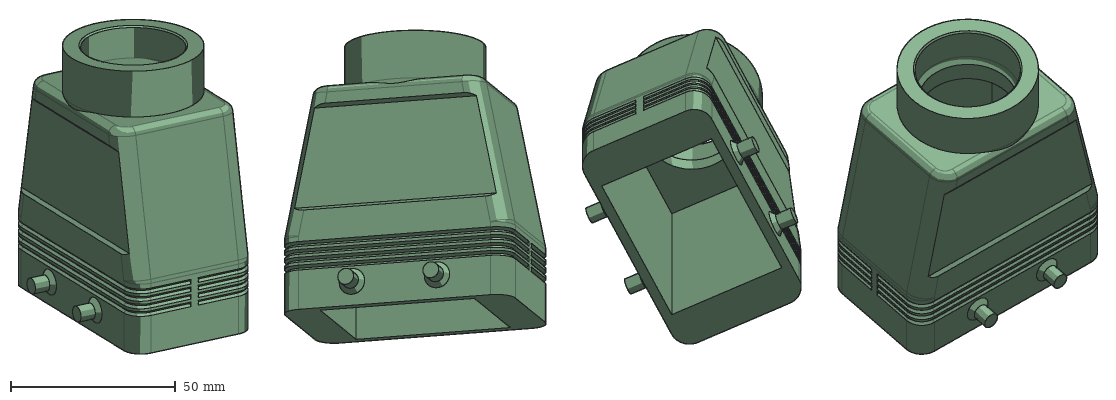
import cadquery as cq
import math

length = 73.0
depth = 43.0
total_height = 85.0
shoulder_z = 70.0
corner_radius = 6.0

bend_z = 23.5
bend_radius = 6.4
end_slope = 11.5
shoulder_fillet = 2.55

wall = 3.0
roof = 3.8
cavity_length = 49.0
cavity_depth = depth - 2 * wall
ceiling_z = shoulder_z - roof

panel_depth = 1.0
panel_bottom_z = 31.0
panel_top_z = 64.0

groove_count = 4
groove_pitch = 2.5
groove_depth = 0.8
groove_flank = 45
lowest_groove_z = 13.1
groove_gap = 2.6
groove_clearance = 1.7

pin_diameter = 5.0
pin_tip_span = 56.0
pin_spacing = 27.0
pin_z = 7.5
pin_root_height = 1.45
pin_root_diameter = 8.1

neck_diameter = depth
neck_draft = 12
bore_diameter = 32.0
bore_chamfer = 0.5
seat_top_z = 74.55
seat_radius = 3.0
passage_diameter = 29.75


def hood_shell():
    """Outer body with sloping ends, rounded bends, corners and shoulder."""
    skirt = length / 2
    top = skirt - (shoulder_z - bend_z) * math.tan(math.radians(end_slope))
    body = (
        cq.Workplane("XZ")
        .polyline([
            (-skirt, 0),
            (skirt, 0),
            (skirt, bend_z),
            (top, shoulder_z),
            (-top, shoulder_z),
            (-skirt, bend_z),
        ])
        .close()
        .extrude(depth / 2, both=True)
    )
    bend_zone = cq.selectors.BoxSelector(
        (-length, -depth, bend_z / 2), (length, depth, (bend_z + shoulder_z) / 2)
    )
    body = body.edges("|Y").edges(bend_zone).fillet(bend_radius)
    body = body.faces("<Y or >Y").edges("not(<Z or >Z)").fillet(corner_radius)
    return body.faces(">Z").edges().fillet(shoulder_fillet)


def panel_cut(side):
    """Full-width recess with 45 degree upper and lower edges; side is -1 or 1."""
    face = side * depth / 2
    floor = side * (depth / 2 - panel_depth)
    return (
        cq.Workplane("YZ")
        .polyline([
            (face, panel_bottom_z),
            (floor, panel_bottom_z + panel_depth),
            (floor, panel_top_z - panel_depth),
            (face, panel_top_z),
        ])
        .close()
        .extrude(length / 2, both=True)
    )


def groove_ring(z):
    """V groove around the skirt at height z, interrupted in the middle of each end."""
    ring = cq.Workplane("XY", origin=(0, 0, z)).box(
        length + groove_clearance, depth + groove_clearance, 2 * groove_depth
    )
    skirt = cq.Sketch().rect(length, depth).vertices().fillet(corner_radius)
    for direction in (-1, 1):
        start = z - direction * groove_depth
        core = (
            cq.Workplane("XY", origin=(0, 0, start))
            .placeSketch(skirt)
            .extrude(direction * groove_depth, taper=groove_flank)
        )
        ring = ring.cut(core)
    gap = cq.Workplane("XY", origin=(0, 0, z)).box(
        length + groove_clearance, groove_gap, 2 * groove_depth
    )
    return ring.cut(gap)


def locking_pin(x, side):
    """Pin with a conical root; side is -1 for the front, 1 for the back."""
    radius = pin_diameter / 2
    root = depth / 2
    tip = pin_tip_span / 2
    inner = root - wall / 2
    flare = pin_root_diameter / 2
    pin = (
        cq.Workplane("XY")
        .moveTo(0, inner)
        .lineTo(flare, inner)
        .lineTo(flare, root)
        .lineTo(radius, root + pin_root_height)
        .lineTo(radius, tip)
        .lineTo(0, tip)
        .close()
        .revolve(360, (0, 0, 0), (0, 1, 0))
    )
    if side < 0:
        pin = pin.mirror("XZ")
    return pin.translate((x, 0, pin_z))


def neck_bore():
    """Chamfered bore, rounded seat and narrower passage into the hood."""
    bore = bore_diameter / 2
    passage = passage_diameter / 2
    seat_width = bore - passage
    seat_height = math.sqrt(seat_radius**2 - (seat_radius - seat_width) ** 2)
    return (
        cq.Workplane("XZ")
        .moveTo(0, ceiling_z)
        .lineTo(passage, ceiling_z)
        .lineTo(passage, seat_top_z - seat_height)
        .radiusArc((bore, seat_top_z), -seat_radius)
        .lineTo(bore, total_height - bore_chamfer)
        .lineTo(bore + bore_chamfer, total_height)
        .lineTo(0, total_height)
        .close()
        .revolve(360, (0, 0, 0), (0, 1, 0))
    )


neck = (
    cq.Workplane("XY", origin=(0, 0, shoulder_z))
    .circle(neck_diameter / 2)
    .extrude(total_height - shoulder_z)
    .faces("<Z")
    .workplane()
    .circle(neck_diameter / 2)
    .extrude(roof, taper=neck_draft)
)

cavity = cq.Workplane("XY").rect(cavity_length, cavity_depth).extrude(ceiling_z)

result = hood_shell()
for side in (-1, 1):
    result = result.cut(panel_cut(side))
for i in range(groove_count):
    result = result.cut(groove_ring(lowest_groove_z + i * groove_pitch))
result = result.union(neck)
for side in (-1, 1):
    for x in (-pin_spacing / 2, pin_spacing / 2):
        result = result.union(locking_pin(x, side))
result = result.cut(cavity).cut(neck_bore())